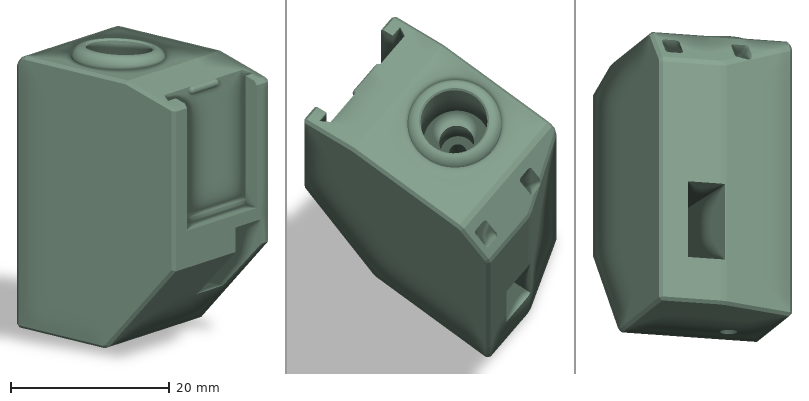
import cadquery as cq
import math

LENGTH = 30.0
WIDTH = 18.6
HEIGHT = 36.0
TOTAL_HEIGHT = 37.57
EDGE_CHAMFER = 0.4

BEVEL = 4.6
BEVEL_ANGLE = 45
SLOPE_START = 22.0
SLOPE_ANGLE = 15
UNDERCUT_START_X = 18.55
UNDERCUT_TOP_Z = 12.4

CORNER_CUT_X = 3.6
CORNER_CUT_Y = 10.2

SOCKET_TILT = 4
SOCKET_X = 14.05
SOCKET_Y = 7.93
COLLAR_DIAMETER = 12.0
COLLAR_ROUND = 1.5
SOCKET_DIAMETER = 8.45
SOCKET_DEPTH = 7.85
SOCKET_CHAMFER = 0.23
STEP_DIAMETER = 4.4
STEP_DEPTH = 3.9
BORE_DIAMETER = 2.2

WINDOW_Y = 9.95
WINDOW_WIDTH = 4.95
WINDOW_BOTTOM = 5.8
WINDOW_HEIGHT = 9.85
WINDOW_TURN = 3.8

TUNNEL_X = 2.2
TUNNEL_Y = 11.72
TUNNEL_OUTER_RADIUS = 6.0
TUNNEL_INNER_RADIUS = 3.87
TUNNEL_HEIGHT = 3.05
TUNNEL_CENTER_OFFSET = 1.8
TUNNEL_ROUND = 0.45

SLOT_FLOOR_Z = 18.05
MOUTH_FLOOR_Z = 17.3
SLOT_BACK_X = 26.85
LIP_INNER_X = 28.15
SLOT_BACK_WIDTH = 15.05
SLOT_LIP_WIDTH = 16.4
SLOT_MOUTH_WIDTH = 13.45
BUMP_RADIUS = 0.53
BUMP_LENGTH = 4.4

CLEARANCE = 3.75


tilt = math.radians(SOCKET_TILT)
collar_flat_radius = COLLAR_DIAMETER / 2 - COLLAR_ROUND
collar_top_z = TOTAL_HEIGHT - collar_flat_radius * math.sin(tilt) - COLLAR_ROUND * (1 - math.cos(tilt))


def slope_z(x):
    """Height of the sloped top at a given x."""
    return HEIGHT - (x - SLOPE_START) * math.tan(math.radians(SLOPE_ANGLE))


def edges_near(x, z):
    """Selector for the edge across the width at a corner of the side outline."""
    reach = EDGE_CHAMFER / 2
    return cq.selectors.BoxSelector((x - reach, 0, z - reach), (x + reach, WIDTH, z + reach))


def make_body():
    side_outline = [
        (0, 0),
        (UNDERCUT_START_X, 0),
        (LENGTH, UNDERCUT_TOP_Z),
        (LENGTH, slope_z(LENGTH)),
        (SLOPE_START, HEIGHT),
        (BEVEL, HEIGHT),
        (0, HEIGHT - BEVEL),
    ]
    block = cq.Workplane("XZ").polyline(side_outline).close().extrude(-WIDTH)
    corner = (
        cq.Workplane("XY")
        .polyline([(0, 0), (CORNER_CUT_X, 0), (0, CORNER_CUT_Y)])
        .close()
        .extrude(HEIGHT)
    )
    block = block.cut(corner)
    top_bend = edges_near(SLOPE_START, HEIGHT)
    undercut_bend = edges_near(LENGTH, UNDERCUT_TOP_Z)
    return block.edges(-(top_bend + undercut_bend)).chamfer(EDGE_CHAMFER)


def tilt_socket(shape):
    """Move a shape built about the Z axis, with z = 0 at the collar top, into place."""
    tilted = shape.rotate((0, 0, 0), (1, 0, 0), -SOCKET_TILT)
    return tilted.translate((SOCKET_X, SOCKET_Y, collar_top_z))


def make_collar():
    collar = (
        cq.Workplane("XY")
        .circle(COLLAR_DIAMETER / 2)
        .extrude(-2 * COLLAR_ROUND)
        .faces(">Z")
        .edges()
        .fillet(COLLAR_ROUND)
    )
    return tilt_socket(collar)


def make_socket_cutter():
    socket = cq.Workplane("XY").circle(SOCKET_DIAMETER / 2).extrude(-SOCKET_DEPTH)
    step = cq.Workplane("XY").circle(STEP_DIAMETER / 2).extrude(-SOCKET_DEPTH - STEP_DEPTH)
    bore = cq.Workplane("XY").circle(BORE_DIAMETER / 2).extrude(-HEIGHT - CLEARANCE)
    rim = cq.Workplane(
        cq.Solid.makeCone(SOCKET_DIAMETER / 2, SOCKET_DIAMETER / 2 + SOCKET_CHAMFER, SOCKET_CHAMFER)
    ).translate((0, 0, -SOCKET_CHAMFER))
    return tilt_socket(socket.union(step).union(bore).union(rim))


def make_window_cutter():
    window = cq.Workplane("XY").box(
        LENGTH + 2 * CLEARANCE, WINDOW_WIDTH, WINDOW_HEIGHT, centered=(True, False, False)
    )
    window = window.translate((LENGTH / 2, 0, 0)).rotate((0, 0, 0), (0, 0, 1), WINDOW_TURN)
    return window.translate((0, WINDOW_Y, WINDOW_BOTTOM))


def make_tunnel_cutter():
    """Ring of rounded rectangular section whose axis runs up the bevel."""
    ring = (
        cq.Workplane("XY")
        .circle(TUNNEL_OUTER_RADIUS)
        .circle(TUNNEL_INNER_RADIUS)
        .extrude(TUNNEL_HEIGHT / 2, both=True)
        .edges()
        .fillet(TUNNEL_ROUND)
    )
    ring = ring.translate((-TUNNEL_CENTER_OFFSET, 0, 0)).rotate((0, 0, 0), (0, 1, 0), BEVEL_ANGLE)
    return ring.translate((TUNNEL_X, TUNNEL_Y, HEIGHT - BEVEL + TUNNEL_X))


def make_slot_cutter():
    """Flared channel behind the lips, with a narrower mouth between them."""
    channel = (
        cq.Workplane("XY", origin=(0, WIDTH / 2, SLOT_FLOOR_Z))
        .moveTo(SLOT_BACK_X, -SLOT_BACK_WIDTH / 2)
        .lineTo(LIP_INNER_X, -SLOT_LIP_WIDTH / 2)
        .lineTo(LIP_INNER_X, SLOT_LIP_WIDTH / 2)
        .lineTo(SLOT_BACK_X, SLOT_BACK_WIDTH / 2)
        .close()
        .extrude(HEIGHT - SLOT_FLOOR_Z)
    )
    mouth = cq.Workplane("XY", origin=(LIP_INNER_X, WIDTH / 2, MOUTH_FLOOR_Z)).box(
        LENGTH - LIP_INNER_X, SLOT_MOUTH_WIDTH, HEIGHT - MOUTH_FLOOR_Z, centered=(False, True, False)
    )
    return channel.union(mouth)


def make_bump():
    """Round-ended catch on the slot back, just below the slot's upper edge."""
    bar = cq.Workplane("XZ").circle(BUMP_RADIUS).extrude(BUMP_LENGTH / 2, both=True)
    for side in (-1, 1):
        bar = bar.union(cq.Workplane("XY").sphere(BUMP_RADIUS).translate((0, side * BUMP_LENGTH / 2, 0)))
    return bar.translate((SLOT_BACK_X, WIDTH / 2, slope_z(SLOT_BACK_X) - BUMP_RADIUS))


result = (
    make_body()
    .union(make_collar())
    .cut(make_socket_cutter())
    .cut(make_window_cutter())
    .cut(make_tunnel_cutter())
    .cut(make_slot_cutter())
    .union(make_bump())
)